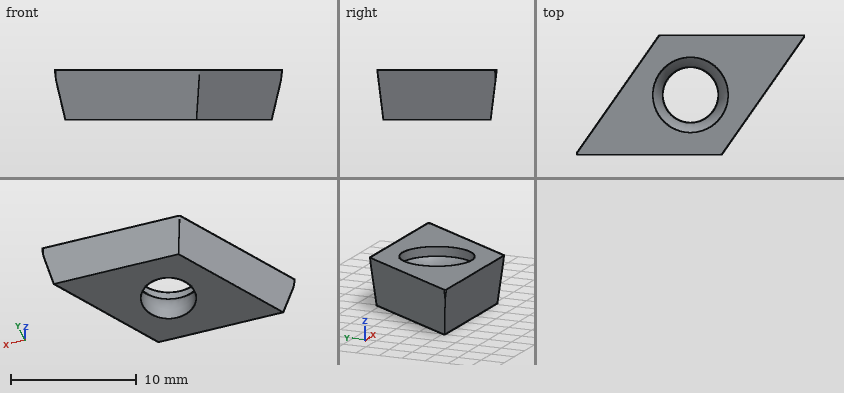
import cadquery as cq
import math

width = 9.53
thickness = 3.97
acute_angle = math.radians(55)
relief_angle = math.radians(7)
corner_radius = 0.101

neck_diameter = 4.4
mouth_diameter = 6.0
mouth_depth = 0.8
seat_end_depth = 2.83


def rhombus(inset, z):
    """Sharp rhombus at height z, every edge moved inward by inset."""
    half_width = width / 2 - inset
    half_edge = half_width / math.sin(acute_angle)
    lean = half_width / math.tan(acute_angle)
    corners = [
        (-half_edge - lean, -half_width),
        (half_edge - lean, -half_width),
        (half_edge + lean, half_width),
        (-half_edge + lean, half_width),
    ]
    return cq.Workplane("XY", origin=(0, 0, z)).polyline(corners).close()


def relieved_body():
    """Flanks lean inward; the corner cones shrink to points below the top."""
    cone_height = corner_radius / math.tan(relief_angle)
    cone_base = thickness - cone_height
    taper = math.degrees(relief_angle)
    upper = rhombus(corner_radius, cone_base).extrude(cone_height, taper=-taper)
    lower = rhombus(corner_radius, cone_base).extrude(-cone_base, taper=taper)
    return upper.union(lower).clean()


def screw_hole():
    """Neck, curved seat and straight mouth, turned about Z."""
    neck = neck_diameter / 2
    mouth = mouth_diameter / 2
    seat_top = thickness - mouth_depth
    seat_end = thickness - seat_end_depth
    step = mouth - neck
    height = seat_top - seat_end
    seat_radius = (step**2 + height**2) / (2 * step)
    half_sweep = math.asin(height / seat_radius) / 2
    middle = (
        neck + seat_radius * (1 - math.cos(half_sweep)),
        seat_end + seat_radius * math.sin(half_sweep),
    )
    return (
        cq.Workplane("XZ")
        .moveTo(0, 0)
        .lineTo(neck, 0)
        .lineTo(neck, seat_end)
        .threePointArc(middle, (mouth, seat_top))
        .lineTo(mouth, thickness)
        .lineTo(0, thickness)
        .close()
        .revolve(360, (0, 0, 0), (0, 1, 0))
    )


result = relieved_body().cut(screw_hole())